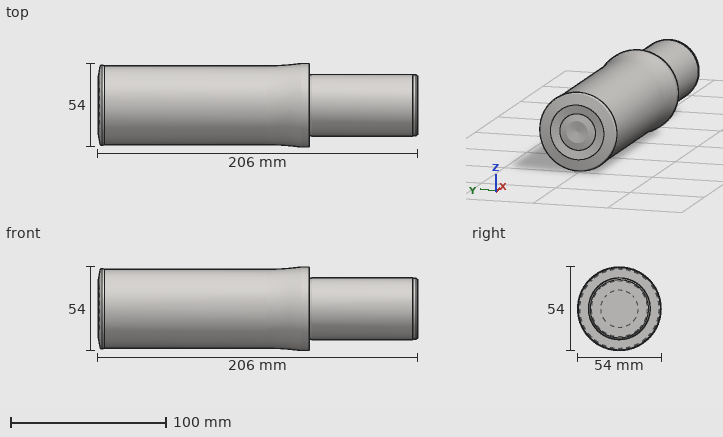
import cadquery as cq
import math


tip_radius = 52.0 / 2
corner_radius = 1.4
face_slope = math.radians(10.0)
flank_slope = math.radians(16.0)
rim_radius = 18.0
valley_radius = 12.0
inner_ridge_radius = 7.25
centre_depth = 1.1
centre_flat_radius = 0.5

body_radius = 51.0 / 2
flare_start_x = 109.0

collar_radius = 54.0 / 2
collar_start_x = 130.8
collar_end_x = 136.3
collar_chamfer = 0.5
shank_radius = 40.0 / 2
relief_radius = 39.5 / 2
neck_length = 0.7
neck_taper_length = 1.0
tail_length = 3.5
tail_taper_length = 0.4
tail_chamfer = 1.0
total_length = 206.0

corner_start_radius = tip_radius - corner_radius * (1 - math.sin(face_slope))
corner_start_x = (corner_start_radius - rim_radius) * math.tan(face_slope)
corner_end_x = corner_start_x + corner_radius * math.cos(face_slope)

tip_end_x = corner_end_x + (tip_radius - body_radius) / math.tan(flank_slope)


def revolve_about_x(profile):
    return profile.close().revolve(360, (0, 0, 0), (1, 0, 0))


def make_tip():
    """Disc with a W-shaped end face of shallow conical rings, a rounded corner and a tapered flank."""
    steepness = math.tan(face_slope)
    valley_x = (rim_radius - valley_radius) * steepness
    inner_ridge_x = valley_x - (valley_radius - inner_ridge_radius) * steepness
    profile = (
        cq.Workplane("XY")
        .moveTo(centre_depth, 0)
        .lineTo(centre_depth, centre_flat_radius)
        .lineTo(inner_ridge_x, inner_ridge_radius)
        .lineTo(valley_x, valley_radius)
        .lineTo(0, rim_radius)
        .lineTo(corner_start_x, corner_start_radius)
        .radiusArc((corner_end_x, tip_radius), corner_radius)
        .lineTo(tip_end_x, body_radius)
        .lineTo(tip_end_x, 0)
    )
    return revolve_about_x(profile)


def make_holder():
    """Drill body that flares into a collar, then a shank relieved at both ends."""
    flare_length = collar_start_x - flare_start_x
    flare_rise = collar_radius - body_radius
    flare_arc_radius = (flare_length**2 + flare_rise**2) / (2 * flare_rise)

    neck_end_x = collar_end_x + neck_length
    tail_x = total_length - tail_length
    profile = (
        cq.Workplane("XY")
        .moveTo(tip_end_x, 0)
        .lineTo(tip_end_x, body_radius)
        .lineTo(flare_start_x, body_radius)
        .radiusArc((collar_start_x, collar_radius), -flare_arc_radius)
        .lineTo(collar_end_x - collar_chamfer, collar_radius)
        .lineTo(collar_end_x, collar_radius - collar_chamfer)
        .lineTo(collar_end_x, relief_radius)
        .lineTo(neck_end_x, relief_radius)
        .lineTo(neck_end_x + neck_taper_length, shank_radius)
        .lineTo(tail_x, shank_radius)
        .lineTo(tail_x + tail_taper_length, relief_radius)
        .lineTo(total_length - tail_chamfer, relief_radius)
        .lineTo(total_length, relief_radius - tail_chamfer)
        .lineTo(total_length, 0)
    )
    return revolve_about_x(profile)


tip = make_tip()
holder = make_holder()

result = cq.Compound.makeCompound([tip.val(), holder.val()])